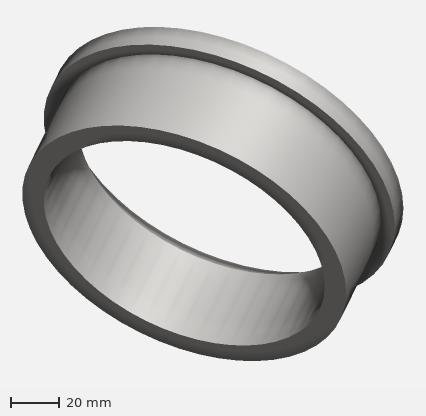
import cadquery as cq

flange_diameter = 156.0
sleeve_diameter = 144.0
bore_diameter = 125.0
total_length = 50.0
flange_thickness = 10.0

flare_diameter = sleeve_diameter
flare_depth = flange_thickness


def cylinder(diameter, length):
    """Cylinder from the flange face (Y = 0) toward -Y."""
    return cq.Workplane("XZ").circle(diameter / 2).extrude(length)


sleeve = cylinder(sleeve_diameter, total_length)
flange = cylinder(flange_diameter, flange_thickness)
bore = cylinder(bore_diameter, total_length)

flare = (
    cq.Workplane("XZ")
    .circle(flare_diameter / 2)
    .workplane(offset=flare_depth)
    .circle(bore_diameter / 2)
    .loft()
)

result = sleeve.union(flange).cut(bore).cut(flare)